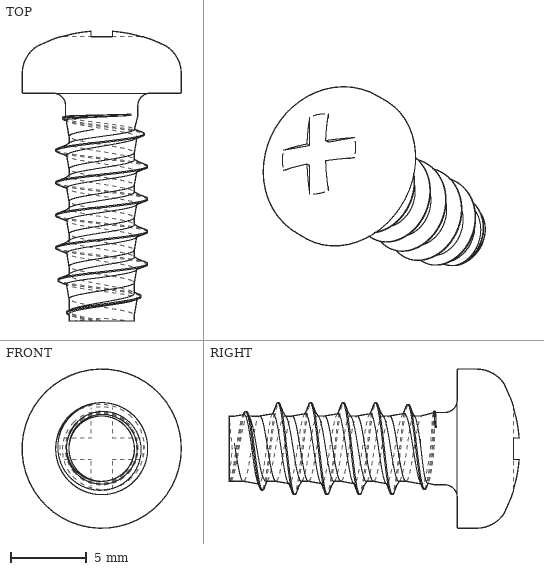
import cadquery as cq
import math


head_radius = 5.25
head_height = 4.15
rim_height = 1.29
rim_edge_radius = 0.1
crown_edge_radius = 4.26
crown_rise = 1.04

slot_width = 1.4
slot_depth = 0.42

shaft_length = 15.0
shank_radius = 2.39
shank_length = 1.5
neck_fillet_radius = 0.8
root_radius = 2.15
neck_cone_length = 0.92
tip_recess_radius = 2.02
tip_recess_depth = 0.2

pitch = 2.14
crest_radius = 3.03
crest_half_width = 0.04
knee_radius = 2.5
knee_half_width = 0.23
head_side_foot = 0.45
tip_side_foot = 0.34
tip_side_foot_radius = 2.32
ramp_length = 1.22
ramp_peak_radius = 2.37
ramp_foot_height = 0.01
ramp_foot_width = 0.1
buried_radius = 1.85

first_crest_y = -1.61
lead_in_start = -0.4
lead_in_end = 1.0
lead_in_sink = 0.63
lead_in_pitch = 0.5
run_out_start = 4.75
run_out_end = 6.3
run_out_sink = 0.9
ramp_start = -0.25
ramp_fade = 5.5
ramp_end = 6.2
ramp_end_sink = 0.27
points_per_turn = 24


def head_and_shaft():
    """Turned body: head, filleted neck, shank, cone and root cylinder."""
    shoulder_rise = head_height - crown_rise - rim_height
    shoulder_inset = head_radius - crown_edge_radius
    shoulder_radius = (shoulder_inset**2 + shoulder_rise**2) / (2 * shoulder_inset)
    half_angle = math.asin(shoulder_rise / shoulder_radius) / 2
    shoulder_mid = (
        head_radius - shoulder_radius * (1 - math.cos(half_angle)),
        rim_height + shoulder_radius * math.sin(half_angle),
    )
    crown_radius = (crown_edge_radius**2 + crown_rise**2) / (2 * crown_rise)
    crown_mid_x = crown_edge_radius / 2
    crown_drop = crown_radius - math.sqrt(crown_radius**2 - crown_mid_x**2)
    crown_mid = (crown_mid_x, head_height - crown_drop)
    arc_offset = 1 - math.sqrt(0.5)
    fillet_mid = (
        shank_radius + neck_fillet_radius * arc_offset,
        -neck_fillet_radius * arc_offset,
    )
    rim_edge_mid = (
        head_radius - rim_edge_radius * arc_offset,
        rim_edge_radius * arc_offset,
    )
    return (
        cq.Workplane("XY")
        .moveTo(0, -shaft_length)
        .lineTo(root_radius, -shaft_length)
        .lineTo(root_radius, -shank_length - neck_cone_length)
        .lineTo(shank_radius, -shank_length)
        .lineTo(shank_radius, -neck_fillet_radius)
        .threePointArc(fillet_mid, (shank_radius + neck_fillet_radius, 0))
        .lineTo(head_radius - rim_edge_radius, 0)
        .threePointArc(rim_edge_mid, (head_radius, rim_edge_radius))
        .lineTo(head_radius, rim_height)
        .threePointArc(shoulder_mid, (crown_edge_radius, head_height - crown_rise))
        .threePointArc(crown_mid, (0, head_height))
        .close()
        .revolve(360, (0, 0, 0), (0, 1, 0))
    )


def crest_sink(turn):
    """How far the crest is lowered towards the axis at its two ends."""
    if turn < lead_in_end:
        return lead_in_sink * (lead_in_end - turn) / (lead_in_end - lead_in_start)
    if turn > run_out_start:
        return run_out_sink * (turn - run_out_start) / (run_out_end - run_out_start)
    return 0.0


def crest_y(turn):
    """Axial place of the crest, advancing slowly beside the shank."""
    return first_crest_y - (lead_in_pitch if turn < 0 else pitch) * turn


def ramp_sink(turn):
    """How far the core ramp is lowered as it fades out at the tip."""
    return ramp_end_sink * max(0, turn - ramp_fade) / (ramp_end - ramp_fade)


def ramp_y(turn):
    return first_crest_y - pitch * turn


def helical_ridge(profile, start, end, sink, axial):
    """Solid swept along the helix by (offset towards the tip, radius) profile points."""

    def place(corner, turn):
        offset, radius = corner
        reach = radius - sink(turn)
        angle = 2 * math.pi * turn
        return cq.Vector(
            -reach * math.cos(angle), axial(turn) - offset, -reach * math.sin(angle)
        )

    steps = math.ceil((end - start) * points_per_turn)
    turns = [start + (end - start) * i / steps for i in range(steps + 1)]
    helices = [
        cq.Edge.makeSpline([place(corner, turn) for turn in turns], parameters=turns)
        for corner in profile
    ]
    faces = [
        cq.Face.makeRuledSurface(helices[i - 1], helices[i])
        for i in range(len(helices))
    ]
    for turn in (start, end):
        outline = [place(corner, turn) for corner in profile]
        faces.append(cq.Face.makeFromWires(cq.Wire.makePolygon(outline, close=True)))
    shell = cq.Shell.makeShell(faces)
    return cq.Workplane(cq.Solid.makeSolid(shell).fix())


def extended_offset(outer, inner, radius):
    """Offset at which the line through two profile points reaches a radius."""
    slope = (inner[0] - outer[0]) / (inner[1] - outer[1])
    return inner[0] + slope * (radius - inner[1])


def crest_ridge():
    head_knee = (-knee_half_width, knee_radius)
    tip_knee = (knee_half_width, knee_radius)
    head_foot = (-head_side_foot, root_radius)
    tip_foot = (tip_side_foot, tip_side_foot_radius)
    profile = [
        (extended_offset(head_knee, head_foot, buried_radius), buried_radius),
        head_knee,
        (-crest_half_width, crest_radius),
        (crest_half_width, crest_radius),
        tip_knee,
        (extended_offset(tip_knee, tip_foot, buried_radius), buried_radius),
    ]
    return helical_ridge(profile, lead_in_start, run_out_end, crest_sink, crest_y)


def core_ramp():
    profile = [
        (0, buried_radius),
        (0, ramp_peak_radius),
        (ramp_length, root_radius + ramp_foot_height),
        (ramp_length + ramp_foot_width, buried_radius),
    ]
    return helical_ridge(profile, ramp_start, ramp_end, ramp_sink, ramp_y)


def tip_dimple():
    return (
        cq.Workplane("XY")
        .moveTo(0, -shaft_length)
        .lineTo(tip_recess_radius, -shaft_length)
        .lineTo(0, -shaft_length + tip_recess_depth)
        .close()
        .revolve(360, (0, 0, 0), (0, 1, 0))
    )


def beyond_tip():
    """Block that trims the thread flush with the tip."""
    size = 2 * head_radius
    return cq.Workplane("XY").box(size, size, size).translate((0, -shaft_length - size / 2, 0))


def cross_slot():
    bar = (
        cq.Workplane("XY")
        .box(2 * head_radius, 2 * slot_depth, slot_width)
        .translate((0, head_height, 0))
    )
    return bar.union(bar.rotate((0, 0, 0), (0, 1, 0), 90))


shaft = head_and_shaft().union(crest_ridge()).union(core_ramp())
result = shaft.cut(beyond_tip()).cut(tip_dimple()).cut(cross_slot())